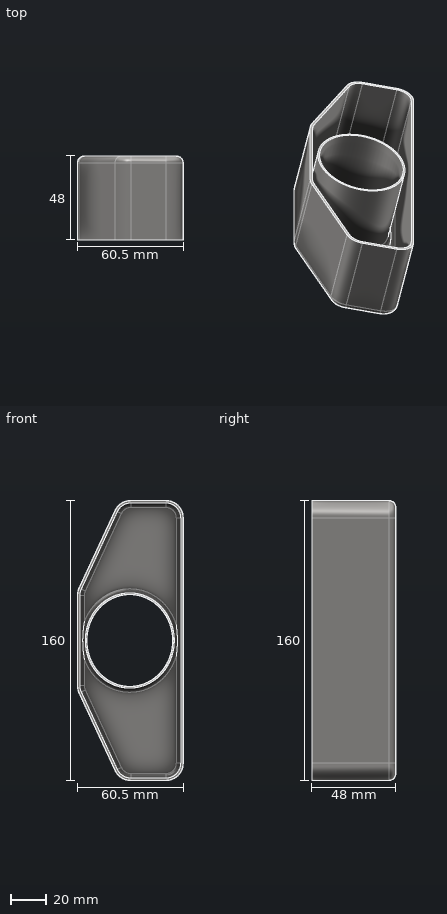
import cadquery as cq

height = 160.0
width = 60.5
depth = 48.0
wall = 1.5
corner_radius = 10.0
floor_edge_radius = 4.0
top_corner_x = -6.0
flat_side_half_height = 28.0

bore_center_x = -0.3
bore_half_width = 24.5
bore_half_height = 26.2
tube_wall = 1.0
tube_fillet = 2.4

half_width = width / 2
half_height = height / 2
floor_y = depth - wall


def rounded_block(inset):
    """Outline block shrunk evenly by inset, with a rounded back edge."""
    corners = [
        (half_width, -half_height),
        (half_width, half_height),
        (top_corner_x, half_height),
        (-half_width, flat_side_half_height),
        (-half_width, -flat_side_half_height),
        (top_corner_x, -half_height),
    ]
    outline = cq.Workplane("XZ").polyline(corners).close()
    block = outline.extrude(-depth).edges("|Y").fillet(corner_radius)
    if inset > 0:
        block = block.faces("<Y").wires().toPending().workplane(origin=(0, 0, 0))
        block = block.offset2D(-inset).extrude(-(depth - inset), combine=False)
    return block.faces(">Y").edges().fillet(floor_edge_radius - inset)


def ellipse_prism(offset, length):
    """Elliptical prism running back from the front plane, grown by offset."""
    plane = cq.Workplane("XZ", origin=(bore_center_x, 0, 0))
    ellipse = plane.ellipse(bore_half_width + offset, bore_half_height + offset)
    return ellipse.extrude(-length)


def tube_root(cavity):
    """Concave fillet around the tube where it meets the floor, kept inside the cup."""
    tube = ellipse_prism(tube_wall, floor_y)
    slab_size = 2 * height
    slab = cq.Workplane("XZ", origin=(0, floor_y, 0)).rect(slab_size, slab_size).extrude(-wall)
    joined = slab.union(tube)
    root_edge = joined.faces("<Y[-2]").edges("%ELLIPSE")
    filleted = root_edge.fillet(tube_fillet)
    return filleted.intersect(cavity)


cavity = rounded_block(wall)
cup = rounded_block(0).cut(cavity)
tube = ellipse_prism(tube_wall, depth - floor_edge_radius / 2)
bore = ellipse_prism(0, depth)

result = cup.union(tube).union(tube_root(cavity)).cut(bore)